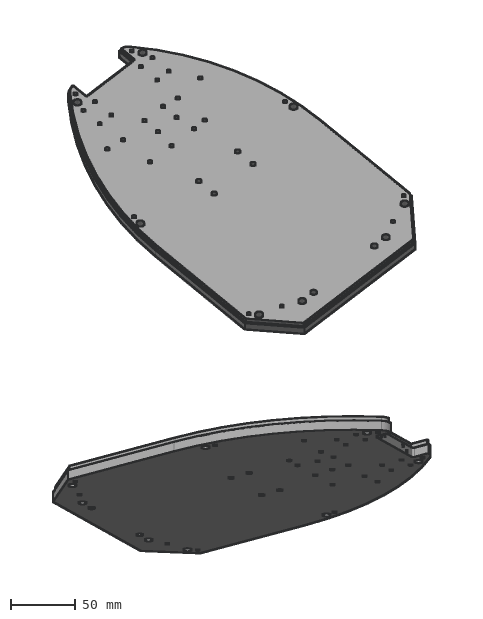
import cadquery as cq
import math


length = 295.0
half_width = 90.0
bow_length = 160.2
nose_half_width = 30.0
nose_round = 10.0
tail_chamfer_x = 35.0
tail_chamfer_y = 30.0

lower_thickness = 8.0
upper_thickness = 4.0
total_thickness = lower_thickness + upper_thickness
step = 1.5

lower_notch_depth = 14.8
lower_notch_width = 50.7
lower_notch_round = 1.8
upper_notch_depth = 16.5
upper_notch_width = 52.0

wall_hole_positions = [(12.5, 5.3), (17.7, 2.7)]
wall_hole_diameter = 2.0
wall_hole_depth = 10.0

mirrored_holes = {
    3.0: [
        (24.8, 24.8), (24.8, 37.2), (43.0, 24.8), (43.0, 37.2),
        (8.8, 30.5), (127.0, 81.5), (257.5, 83.5), (270.0, 60.0),
    ],
    3.2: [(65.0, 10.0), (65.0, 50.2), (80.0, 10.0), (97.4, 12.0)],
    4.0: [(137.0, 21.0), (154.0, 21.0)],
    5.0: [(277.3, 32.7)],
    6.0: [(277.3, 45.0)],
    6.2: [(16.0, 35.0), (135.5, 82.5), (263.7, 78.5)],
}

offset_hole_diameter = 3.2
offset_x_positions = [67.0, 97.0]
offset_y_positions = [-35.0, 24.0]


def deck_outline():
    """Closed outline with the side arcs tangent to the straight sides."""
    drop = half_width - nose_half_width
    bow_radius = (bow_length**2 + drop**2) / (2 * drop)
    half_angle = math.asin(bow_length / bow_radius) / 2
    mid_x = bow_length - bow_radius * math.sin(half_angle)
    mid_y = half_width - bow_radius * (1 - math.cos(half_angle))
    chamfer_start_x = length - tail_chamfer_x
    tail_half_width = half_width - tail_chamfer_y
    return (
        cq.Workplane("XY")
        .moveTo(0, -nose_half_width)
        .threePointArc((mid_x, -mid_y), (bow_length, -half_width))
        .lineTo(chamfer_start_x, -half_width)
        .lineTo(length, -tail_half_width)
        .lineTo(length, tail_half_width)
        .lineTo(chamfer_start_x, half_width)
        .lineTo(bow_length, half_width)
        .threePointArc((mid_x, mid_y), (0, nose_half_width))
        .close()
    )


def rounded_deck(thickness):
    """Full-size layer with rounded nose corners."""
    return deck_outline().extrude(thickness).edges("|Z and <X").fillet(nose_round)


def notch(depth, width, height):
    return cq.Workplane("XY").box(2 * depth, width, height, centered=(True, True, False))


def lower_layer():
    cutter = notch(lower_notch_depth, lower_notch_width, lower_thickness)
    cutter = cutter.edges("|Z and >X").fillet(lower_notch_round)
    return rounded_deck(lower_thickness).cut(cutter)


def upper_layer():
    border = rounded_deck(upper_thickness).faces("<Z").wires().vals()
    deck = cq.Workplane("XY").newObject(border).toPending().offset2D(-step).extrude(upper_thickness)
    deck = deck.cut(notch(upper_notch_depth, upper_notch_width, upper_thickness))
    return deck.translate((0, 0, lower_thickness))


def through_holes(points, diameter):
    return cq.Workplane("XY").pushPoints(points).circle(diameter / 2).extrude(total_thickness)


def wall_holes():
    points = [(side * y, z) for y, z in wall_hole_positions for side in (-1, 1)]
    drills = cq.Workplane("YZ").pushPoints(points).circle(wall_hole_diameter / 2)
    return drills.extrude(lower_notch_depth + wall_hole_depth)


result = lower_layer().union(upper_layer())

for hole_diameter, places in mirrored_holes.items():
    both_sides = [(x, side * y) for x, y in places for side in (-1, 1)]
    result = result.cut(through_holes(both_sides, hole_diameter))

offset_points = [(x, y) for x in offset_x_positions for y in offset_y_positions]
result = result.cut(through_holes(offset_points, offset_hole_diameter))

result = result.cut(wall_holes())